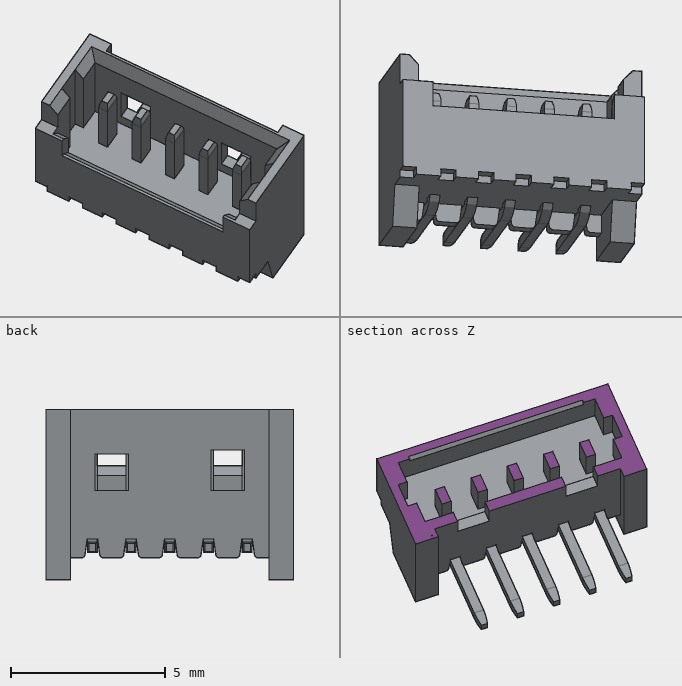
import cadquery as cq
import math


length = 8.0
depth = 3.5
height = 5.5
underside_z = 1.32
shoulder_z = 4.5
step_depth = 0.4
front_y = -depth
step_y = front_y + step_depth

foot_width = 0.8
foot_bottom_depth = 2.01
foot_top_depth = 2.34
recess_depth = 0.32
recess_width = length - 2 * foot_width

cavity_length = 6.78
cavity_floor_z = 2.48
cavity_back_y = -0.71
mouth_width = 0.3
mouth_depth = 0.32
keyway_length = cavity_length + 2 * mouth_width
keyway_back_y = -1.46
keyway_front_y = -2.32

sill_z = 3.69
opening_width = 6.0

pin_count = 5
pin_pitch = 1.25
pin_width = 0.33
blade_depth = 0.62
blade_back_y = -1.12
blade_front_y = blade_back_y - blade_depth
blade_top_z = 4.75
blade_tip_length = 0.3
blade_tip_depth = 0.42
pin_tip_width = 0.22
tail_thickness = 0.34
tail_bottom_z = 0.88
tail_end_y = 2.3
tail_tip_length = 0.5
tail_tip_thickness = 0.26
bend_radius = 0.96
tip_fullness = 0.7
pin_span = (pin_count - 1) * pin_pitch
pin_xs = [i * pin_pitch - pin_span / 2 for i in range(pin_count)]

notch_height = 0.24
notch_width = 0.5
end_notch_width = 0.44

skirt_bottom_z = 0.71
skirt_front_y = cavity_back_y
slot_bottom_width = 0.5
slot_edge_radius = 0.12

window_width = 1.09
window_bottom_z = 2.89
window_left_top_z = 4.19
window_right_top_z = 4.06
window_offset = (pin_xs[-1] + pin_xs[-2]) / 2


def block(x0, x1, y0, y1, z0, z1):
    """Box between two opposite corners."""
    return cq.Workplane("XY").box(x1 - x0, y1 - y0, z1 - z0, centered=False).translate((x0, y0, z0))


def centred_block(width, y0, y1, z0, z1, x=0.0):
    """Box centred on a given X."""
    return block(x - width / 2, x + width / 2, y0, y1, z0, z1)


def along_x(outline, width):
    """Prism along X, centred on X = 0, from a (y, z) outline."""
    return cq.Workplane("YZ").polyline(outline).close().extrude(width / 2, both=True)


def taper_along_y(bottom_width, bottom_z, top_width, top_z, x=0.0):
    """Prism from the rear plane to the front face whose width changes evenly with height."""
    outline = [
        (x - bottom_width / 2, bottom_z),
        (x + bottom_width / 2, bottom_z),
        (x + top_width / 2, top_z),
        (x - top_width / 2, top_z),
    ]
    return cq.Workplane("XZ").polyline(outline).close().extrude(depth)


def make_shell():
    side_outline = [
        (0, 0),
        (0, height),
        (step_y, height),
        (step_y, shoulder_z),
        (front_y, shoulder_z),
        (front_y, underside_z),
        (-foot_top_depth, underside_z),
        (-foot_bottom_depth, 0),
    ]
    shell = along_x(side_outline, length)
    shell = shell.cut(centred_block(recess_width, -recess_depth, 0, 0, height))
    return shell.cut(centred_block(recess_width, front_y, 0, 0, underside_z))


def make_skirt():
    skirt = centred_block(recess_width, skirt_front_y, -recess_depth, skirt_bottom_z, underside_z)
    for x in pin_xs:
        skirt = skirt.cut(taper_along_y(slot_bottom_width, skirt_bottom_z, pin_width, underside_z, x))
    slot_edges = [
        edge
        for edge in skirt.edges("|Y").vals()
        if edge.Center().z < tail_bottom_z and abs(edge.Center().x) < pin_span / 2 + slot_bottom_width
    ]
    return skirt.newObject(slot_edges).fillet(slot_edge_radius)


def make_cavity():
    cavity = centred_block(cavity_length, step_y, cavity_back_y, cavity_floor_z, height)
    mouth_z = height - mouth_depth
    mouth_back = along_x(
        [
            (cavity_back_y, mouth_z),
            (cavity_back_y + mouth_width, height),
            (step_y, height),
            (step_y, mouth_z),
        ],
        keyway_length,
    )
    mouth_ends = taper_along_y(cavity_length, mouth_z, keyway_length, height)
    keyways = centred_block(keyway_length, keyway_front_y, keyway_back_y, cavity_floor_z, height)
    return cavity.union(mouth_back.intersect(mouth_ends)).union(keyways)


def make_front_opening():
    """Lowered sill, with the inner edges of sill and shoulders bevelled like the mouth."""
    opening = centred_block(opening_width, front_y, step_y, sill_z, height)
    for width, top_z in ((opening_width, sill_z), (cavity_length, shoulder_z)):
        bevel = along_x(
            [(step_y, top_z), (step_y - mouth_width, top_z), (step_y, top_z - mouth_depth)],
            width,
        )
        opening = opening.union(bevel)
    return opening


def make_notches():
    notch_top_z = underside_z + notch_height
    end_x = (length - end_notch_width) / 2
    spans = [(x, notch_width) for x in pin_xs]
    spans += [(-end_x, end_notch_width), (end_x, end_notch_width)]
    notches = cq.Workplane("XY")
    for x, width in spans:
        notches = notches.union(centred_block(width, front_y, step_y, underside_z, notch_top_z, x))
    return notches


def make_windows():
    left = centred_block(
        window_width, cavity_back_y, 0, window_bottom_z, window_left_top_z, -window_offset
    )
    right = centred_block(
        window_width, cavity_back_y, 0, window_bottom_z, window_right_top_z, window_offset
    )
    return left.union(right)


def bar_outline(plane, base, half_width, tip_start, tip_half_width, tip_end):
    """Closed bar outline along the plane's local Y whose sides curve in towards the tip."""
    bulge = tip_half_width + tip_fullness * (half_width - tip_half_width)
    middle = (tip_start + tip_end) / 2
    return (
        cq.Workplane(plane)
        .moveTo(-half_width, base)
        .lineTo(-half_width, tip_start)
        .threePointArc((-bulge, middle), (-tip_half_width, tip_end))
        .lineTo(tip_half_width, tip_end)
        .threePointArc((bulge, middle), (half_width, tip_start))
        .lineTo(half_width, base)
        .close()
    )


def make_pin():
    """Upright blade rising through the cavity floor, bent back into a straight solder tail."""
    bend_top_z = tail_bottom_z + bend_radius
    blade_tip_z = blade_top_z - blade_tip_length
    blade_y = (blade_back_y + blade_front_y) / 2
    half_width = pin_width / 2
    tip_half_width = pin_tip_width / 2

    blade_face = bar_outline("XZ", bend_top_z, half_width, blade_tip_z, tip_half_width, blade_top_z)
    blade_side = bar_outline(
        "YZ", bend_top_z, blade_depth / 2, blade_tip_z, blade_tip_depth / 2, blade_top_z
    )
    blade = blade_face.extrude(depth, both=True).intersect(blade_side.extrude(length, both=True))
    blade = blade.translate((0, blade_y, 0))

    bend_end_y = blade_front_y + bend_radius
    tail_z = tail_bottom_z + tail_thickness / 2
    tail_tip_y = tail_end_y - tail_tip_length
    tail_face = bar_outline("XY", bend_end_y, half_width, tail_tip_y, tip_half_width, tail_end_y)
    side_plane = cq.Plane(origin=(0, 0, 0), xDir=(0, 0, 1), normal=(-1, 0, 0))
    tail_side = bar_outline(
        side_plane, bend_end_y, tail_thickness / 2, tail_tip_y, tail_tip_thickness / 2, tail_end_y
    )
    tail = tail_face.extrude(height, both=True).intersect(tail_side.extrude(length, both=True))
    tail = tail.translate((0, 0, tail_z))

    bend_reach = bend_radius * math.sqrt(0.5)
    bend = (
        cq.Workplane("YZ")
        .moveTo(blade_front_y, bend_top_z)
        .threePointArc(
            (bend_end_y - bend_reach, bend_top_z - bend_reach),
            (bend_end_y, tail_bottom_z),
        )
        .lineTo(bend_end_y, tail_bottom_z + tail_thickness)
        .lineTo(blade_back_y, tail_bottom_z + tail_thickness)
        .lineTo(blade_back_y, bend_top_z)
        .close()
        .extrude(half_width, both=True)
    )
    return blade.union(bend).union(tail)


housing = make_shell().union(make_skirt())
for cutter in (make_cavity(), make_front_opening(), make_notches(), make_windows()):
    housing = housing.cut(cutter)

pin = make_pin()
result = housing
for pin_x in pin_xs:
    result = result.union(pin.translate((pin_x, 0, 0)))